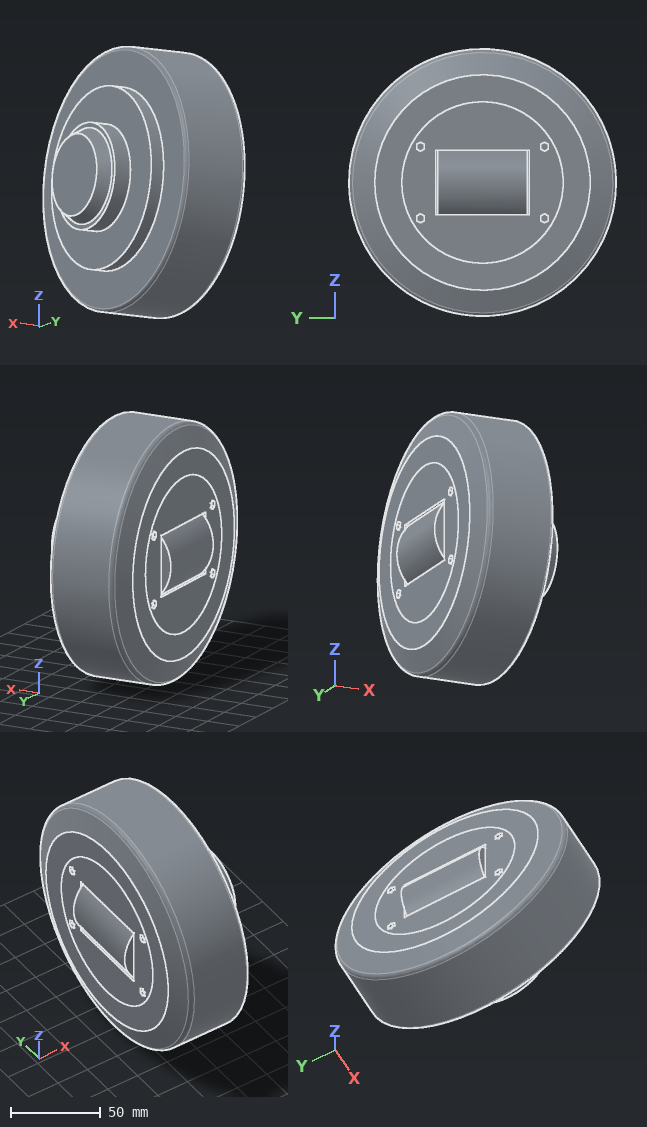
import cadquery as cq


WHEEL_RADIUS = 74.5
WHEEL_WIDTH = 45.0
FRONT_FACE_RADIUS = 60.0
FRONT_CONE_DEPTH = 5.5
FRONT_FILLET = 3.0
BACK_FILLET = 2.0
BORE_RADIUS = 45.0

FLANGE_RADIUS = 51.5
FLANGE_THICKNESS = 8.2
SHAFT_RADIUS = 30.1
SHAFT_LENGTH = 10.5
TIP_BASE_RADIUS = 27.1
TIP_END_RADIUS = 23.1
TIP_LENGTH = 7.5

ROLLER_RADIUS = 25.0
ROLLER_LENGTH = 50.0
ROLLER_PROTRUSION = 5.4
ROLLER_AXIS_X = ROLLER_RADIUS - ROLLER_PROTRUSION

END_CLEARANCE = 1.0
CAVITY_LENGTH = ROLLER_LENGTH + 2 * END_CLEARANCE
WINDOW_HEIGHT = 35.8

SOCKET_SPACING_Y = 69.1
SOCKET_SPACING_Z = 40.0
SOCKET_CORNER_DIAMETER = 5.0
SOCKET_DEPTH = 2.0


def disc(radius, start, length):
    """Solid disc on the wheel axis, growing toward +X from the given position."""
    return cq.Workplane("YZ", origin=(start, 0, 0)).circle(radius).extrude(length)


def cylinder_along_y(length):
    """Cylinder of the roller's radius on the roller axis, centred on Y = 0."""
    end_plane = cq.Plane(origin=(ROLLER_AXIS_X, -length / 2, 0), xDir=(-1, 0, 0), normal=(0, 1, 0))
    return cq.Workplane(end_plane).circle(ROLLER_RADIUS).extrude(length)


def make_wheel():
    """Ring with a conical front edge, rounded rims and a plain bore."""
    profile = [
        (0, 0),
        (0, FRONT_FACE_RADIUS),
        (FRONT_CONE_DEPTH, WHEEL_RADIUS),
        (WHEEL_WIDTH, WHEEL_RADIUS),
        (WHEEL_WIDTH, 0),
    ]
    blank = cq.Workplane("XY").polyline(profile).close().revolve(360, (0, 0, 0), (1, 0, 0))
    blank = blank.edges(">X").fillet(BACK_FILLET)
    front_rim = cq.selectors.NearestToPointSelector((FRONT_CONE_DEPTH, 0, 0))
    blank = blank.edges("%CIRCLE").edges(front_rim).fillet(FRONT_FILLET)
    return blank.cut(disc(BORE_RADIUS, 0, WHEEL_WIDTH))


def make_cap():
    """Disc filling the bore, with the roller cavity, its window and four sockets."""
    cap = disc(BORE_RADIUS, 0, WHEEL_WIDTH)
    window = cq.Workplane("XY").box(
        ROLLER_AXIS_X, CAVITY_LENGTH, WINDOW_HEIGHT, centered=(False, True, True)
    )
    socket_plane = cq.Plane(origin=(0, 0, 0), xDir=(0, 0, 1), normal=(1, 0, 0))
    sockets = (
        cq.Workplane(socket_plane)
        .rect(SOCKET_SPACING_Z, SOCKET_SPACING_Y, forConstruction=True)
        .vertices()
        .polygon(6, SOCKET_CORNER_DIAMETER)
        .extrude(SOCKET_DEPTH)
    )
    return cap.cut(cylinder_along_y(CAVITY_LENGTH)).cut(window).cut(sockets)


def make_pin():
    """Flange, shaft and tapered tip turned as one piece."""
    flange_end = WHEEL_WIDTH + FLANGE_THICKNESS
    shaft_end = flange_end + SHAFT_LENGTH
    tip_end = shaft_end + TIP_LENGTH
    profile = [
        (WHEEL_WIDTH, 0),
        (WHEEL_WIDTH, FLANGE_RADIUS),
        (flange_end, FLANGE_RADIUS),
        (flange_end, SHAFT_RADIUS),
        (shaft_end, SHAFT_RADIUS),
        (shaft_end, TIP_BASE_RADIUS),
        (tip_end, TIP_END_RADIUS),
        (tip_end, 0),
    ]
    return cq.Workplane("XY").polyline(profile).close().revolve(360, (0, 0, 0), (1, 0, 0))


wheel = make_wheel()
cap = make_cap()
roller = cylinder_along_y(ROLLER_LENGTH)
pin = make_pin()

result = cq.Compound.makeCompound(
    [wheel.solids().val(), cap.solids().val(), roller.val(), pin.solids().val()]
)